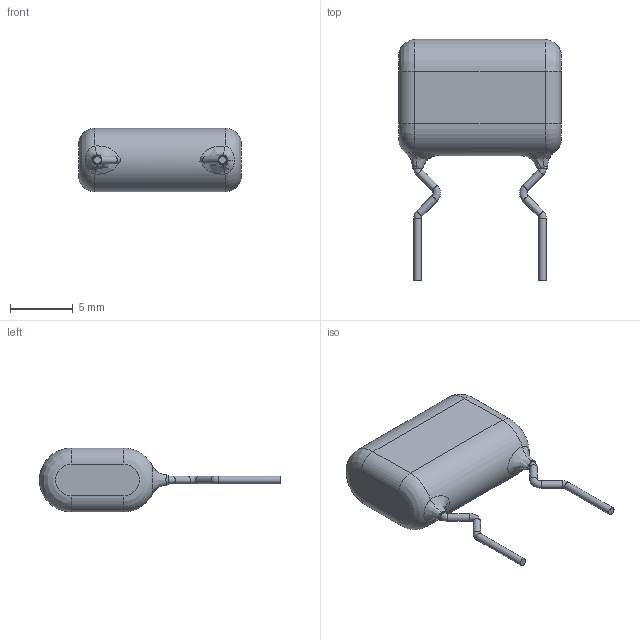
import cadquery as cq
import math

body_width = 13.0
body_height = 5.1
flat_length = 4.2
edge_radius = 1.3
body_length = flat_length + body_height
body_front = -body_length / 2

lead_pitch = 10.0
lead_diameter = 0.6
lead_length = 10.0
tail_length = 5.0
kink_angle = math.radians(45)
end_bend_radius = 0.5
middle_bend_radius = 0.6

collar_diameter = 0.8
collar_length = 1.0
flare_radius = 1.3
stub_length = 3.0

collar_end = body_front - collar_length
lead_end = body_front - lead_length
sides = (-1, 1)


def lead_x(side):
    return side * lead_pitch / 2


def rounded_block():
    return (
        cq.Workplane("YZ")
        .slot2D(body_length, body_height)
        .extrude(body_width / 2, both=True)
        .faces("<X or >X")
        .edges()
        .fillet(edge_radius)
    )


def stub_root_edges(body):
    """Edges where the uncut collars meet the rounded front of the body."""
    reach = collar_diameter
    edges = []
    for side in sides:
        x = lead_x(side)
        around_root = cq.selectors.BoxSelector(
            (x - reach, body_front - reach, -reach),
            (x + reach, body_front + reach, reach),
        )
        edges += body.edges(around_root).vals()
    return edges


def make_body():
    body = rounded_block()
    for side in sides:
        stub = (
            cq.Workplane("XZ", origin=(lead_x(side), 0, 0))
            .circle(collar_diameter / 2)
            .extrude(stub_length - body_front)
        )
        body = body.union(stub)
    body = body.newObject(stub_root_edges(body)).fillet(flare_radius)

    trim = (
        cq.Workplane("XY")
        .box(body_width, stub_length, body_height)
        .translate((0, collar_end - stub_length / 2, 0))
    )
    return body.cut(trim).solids()


def lead_path(side):
    """Wire centreline: bend in, slope, bend back, slope, bend straight, tail."""
    tail_start = body_front - (lead_length - tail_length)
    kink_length = collar_end - tail_start
    bend_rise = math.sin(kink_angle)
    bend_offset = 1 - math.cos(kink_angle)
    half_rise = math.sin(kink_angle / 2)
    half_offset = 1 - math.cos(kink_angle / 2)

    slope_along = kink_length / 2 - (end_bend_radius + middle_bend_radius) * bend_rise
    slope_inward = slope_along * math.tan(kink_angle)
    bend_inward = end_bend_radius * bend_offset
    bend_along = end_bend_radius * bend_rise
    peak_inward = bend_inward + slope_inward + middle_bend_radius * bend_offset

    def point(inward, along):
        return (lead_x(side) - side * inward, collar_end - along)

    bend_middle = (end_bend_radius * half_offset, end_bend_radius * half_rise)
    bend_end = (bend_inward, bend_along)
    slope_end = (bend_inward + slope_inward, bend_along + slope_along)

    def mirrored(kink_point):
        inward, along = kink_point
        return point(inward, kink_length - along)

    return (
        cq.Workplane("XY")
        .moveTo(*point(0, 0))
        .threePointArc(point(*bend_middle), point(*bend_end))
        .lineTo(*point(*slope_end))
        .threePointArc(point(peak_inward, kink_length / 2), mirrored(slope_end))
        .lineTo(*mirrored(bend_end))
        .threePointArc(mirrored(bend_middle), point(0, kink_length))
        .lineTo(lead_x(side), lead_end)
    )


def make_lead(side):
    return (
        cq.Workplane("XZ", origin=(lead_x(side), collar_end, 0))
        .circle(lead_diameter / 2)
        .sweep(lead_path(side))
    )


body = make_body()
leads = [make_lead(side) for side in sides]

result = cq.Compound.makeCompound([body.val(), *[lead.val() for lead in leads]])